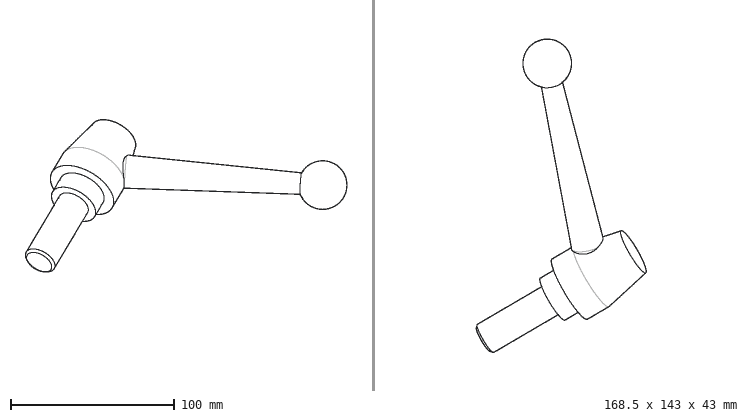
import cadquery as cq
import math

total_length = 168.5
total_height = 143.0

stud_diameter = 20.0
stud_length = 49.9
stud_chamfer = 1.5
collar_diameter = 30.0
collar_length = 12.3
hub_diameter = 43.0
hub_straight_length = 15.7
hub_taper_length = 30.3
hub_top_diameter = 30.0

ball_diameter = 30.0
lever_angle = 20.0
lever_length = 121.0
lever_root_diameter = 20.5
lever_ball_diameter = 12.5
lever_root_depth = 13.5

collar_bottom = stud_length
hub_bottom = collar_bottom + collar_length
hub_taper_start = hub_bottom + hub_straight_length
hub_top = hub_taper_start + hub_taper_length
ball_x = total_length - hub_diameter / 2 - ball_diameter / 2
ball_y = total_height - ball_diameter / 2


def turned_body():
    """Chamfered stud, collar and tapered hub as one revolved profile."""
    stud_radius = stud_diameter / 2
    profile = [
        (0, 0),
        (stud_radius - stud_chamfer, 0),
        (stud_radius, stud_chamfer),
        (stud_radius, collar_bottom),
        (collar_diameter / 2, collar_bottom),
        (collar_diameter / 2, hub_bottom),
        (hub_diameter / 2, hub_bottom),
        (hub_diameter / 2, hub_taper_start),
        (hub_top_diameter / 2, hub_top),
        (0, hub_top),
    ]
    return cq.Workplane("XY").polyline(profile).close().revolve(360, (0, 0), (0, 1))


def lever():
    """Straight root and tapered arm, turned about the line from the hub to the ball centre."""
    root_radius = lever_root_diameter / 2
    profile = [
        (-lever_root_depth, 0),
        (-lever_root_depth, root_radius),
        (0, root_radius),
        (lever_length, lever_ball_diameter / 2),
        (lever_length, 0),
    ]
    arm = cq.Workplane("XY").polyline(profile).close().revolve(360, (0, 0), (1, 0))
    angle = math.radians(lever_angle)
    root_x = ball_x - lever_length * math.cos(angle)
    root_y = ball_y - lever_length * math.sin(angle)
    return arm.rotate((0, 0, 0), (0, 0, 1), lever_angle).translate((root_x, root_y, 0))


def ball():
    """Ball knob at the end of the lever."""
    return cq.Workplane("XY").sphere(ball_diameter / 2).translate((ball_x, ball_y, 0))


result = turned_body().union(lever()).union(ball())